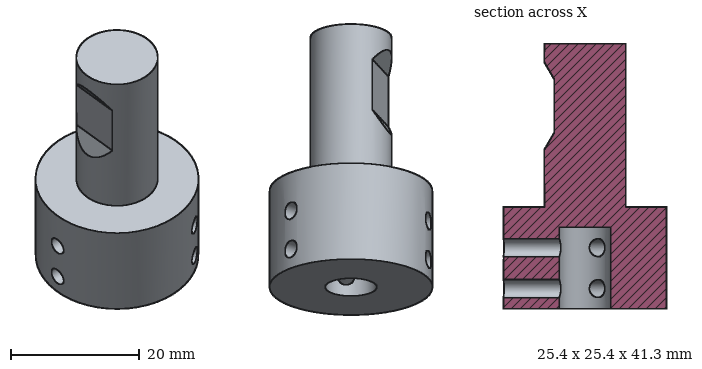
import cadquery as cq
import math

total_height = 41.25
base_diameter = 25.4
base_height = 15.9
shank_diameter = base_diameter / 2

flat_depth = 1.53
flat_bottom = 27.4
flat_top = 35.75
end_slope = 60.0

bore_diameter = 8.0
bore_depth = base_height * 4 / 5

hole_diameter = 2.75
hole_heights = (base_height / 5, base_height * 3 / 5)
hole_directions = (30, 150, 270)


def make_body():
    base = cq.Workplane("XY").circle(base_diameter / 2).extrude(base_height)
    shank = cq.Workplane("XY").circle(shank_diameter / 2).extrude(total_height)
    bore = cq.Workplane("XY").circle(bore_diameter / 2).extrude(bore_depth)
    return base.union(shank).cut(bore)


def make_flat_cutter():
    clearance = 0.4
    inner_y = flat_depth - shank_diameter / 2
    outer_y = -shank_diameter / 2 - clearance
    rise = (flat_depth + clearance) * math.tan(math.radians(end_slope))
    return (
        cq.Workplane("YZ")
        .moveTo(inner_y, flat_bottom)
        .lineTo(inner_y, flat_top)
        .lineTo(outer_y, flat_top + rise)
        .lineTo(outer_y, flat_bottom - rise)
        .close()
        .extrude(shank_diameter, both=True)
    )


def make_radial_hole(direction, height):
    angle = math.radians(direction)
    outward = cq.Vector(math.cos(angle), math.sin(angle), 0)
    start = cq.Vector(0, 0, height)
    return cq.Solid.makeCylinder(hole_diameter / 2, base_diameter, start, outward)


result = make_body().cut(make_flat_cutter())
for direction in hole_directions:
    for height in hole_heights:
        result = result.cut(cq.Workplane(make_radial_hole(direction, height)))